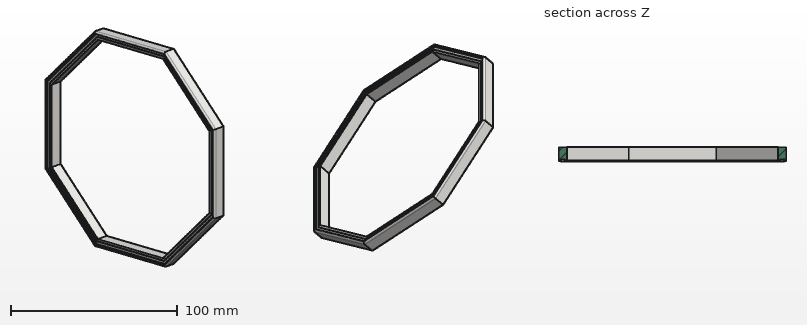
import cadquery as cq
import math

width = 136.8
depth = 8.8

frame_thickness = 5.0
edge_radius = 1.1
rim_width = 1.5
recess_depth = 1.2
lip_width = 1.6
lip_height = 0.5

sides = 8
front_y = -depth / 2


def octagon_prism(inset, start_y, length):
    """Octagonal prism along +Y, its flats inset from the outer flats."""
    corner_diameter = (width - 2 * inset) / math.cos(math.pi / sides)
    return (
        cq.Workplane("XZ", origin=(0, start_y, 0))
        .transformed(rotate=(0, 0, 180 / sides))
        .polygon(sides, corner_diameter)
        .extrude(-length)
    )


block = octagon_prism(0, front_y, depth).faces("<Y or >Y").edges().fillet(edge_radius)

opening = octagon_prism(frame_thickness, front_y, depth)

recess = octagon_prism(rim_width, front_y, recess_depth)
lip_front_y = front_y + recess_depth - lip_height
lip = octagon_prism(frame_thickness - lip_width, lip_front_y, lip_height)

result = block.cut(recess.cut(lip)).cut(opening)